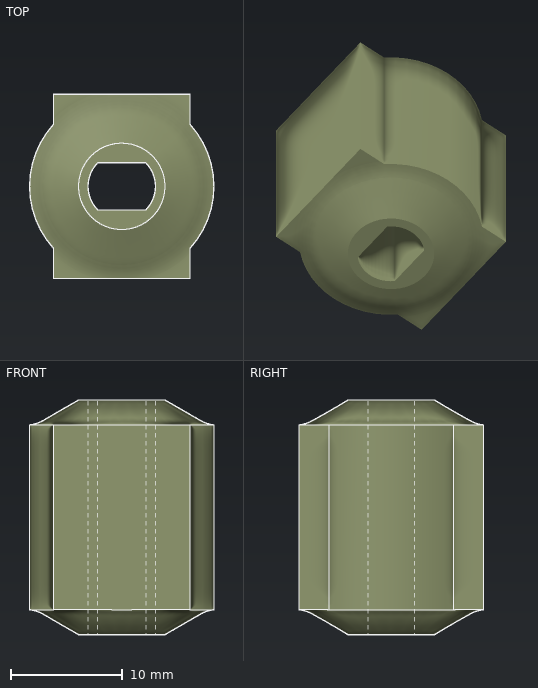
import cadquery as cq
import math

total_height = 21.0
body_height = 16.5
barrel_diameter = 16.5
block_width = 12.22

cone_angle = math.radians(30)
tip_radius = 3.86
blend_radius = 3.0

bore_diameter = 6.0
bore_flat_width = 4.2

cap_height = (total_height - body_height) / 2
blend_drop = blend_radius * (1 - math.cos(cone_angle))
blend_run = blend_radius * math.sin(cone_angle)
cone_end_radius = tip_radius + (cap_height - blend_drop) / math.tan(cone_angle)
cap_radius = cone_end_radius + blend_run


def make_body(height):
    """Round barrel merged with a rectangular block, centred on the origin."""
    barrel = cq.Workplane("XY").circle(barrel_diameter / 2).extrude(height / 2, both=True)
    block = cq.Workplane("XY").box(block_width, barrel_diameter, height)
    return barrel.union(block)


def make_caps():
    """Both flared cones, revolved about Z as one piece through the body."""
    shoulder = body_height / 2
    half_angle = cone_angle / 2
    blend_mid = (
        cap_radius - blend_radius * math.sin(half_angle),
        shoulder + blend_radius * (1 - math.cos(half_angle)),
    )
    cone_end = (cone_end_radius, shoulder + blend_drop)
    return (
        cq.Workplane("XZ")
        .moveTo(0, -total_height / 2)
        .lineTo(tip_radius, -total_height / 2)
        .lineTo(cone_end[0], -cone_end[1])
        .threePointArc((blend_mid[0], -blend_mid[1]), (cap_radius, -shoulder))
        .lineTo(cap_radius, shoulder)
        .threePointArc(blend_mid, cone_end)
        .lineTo(tip_radius, total_height / 2)
        .lineTo(0, total_height / 2)
        .close()
        .revolve(360, (0, 0, 0), (0, 1, 0))
    )


def make_bore():
    """Round bore with two flats facing Y."""
    bore = cq.Workplane("XY").circle(bore_diameter / 2).extrude(total_height / 2, both=True)
    flats = cq.Workplane("XY").box(bore_diameter, bore_flat_width, total_height)
    return bore.intersect(flats)


trimmed_caps = make_caps().intersect(make_body(total_height))
result = make_body(body_height).union(trimmed_caps).cut(make_bore())